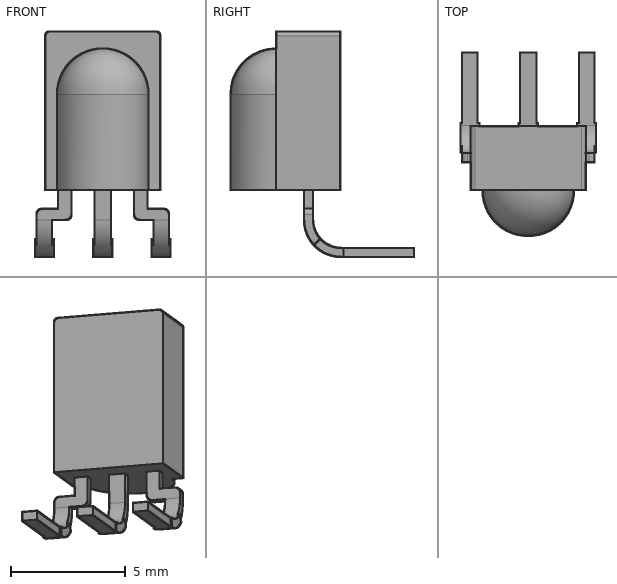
import cadquery as cq
import math


top_height = 9.85
body_bottom = 2.92
body_width = 5.02
body_depth = 2.8
body_corner_radius = 0.2
lens_radius = 2.0
dome_center_height = 7.1

lead_pitch = 2.54
lead_thickness = 0.4
lead_front = 1.21
lead_end = 6.02
bend_outer_radius = 1.62
bend_inner_radius = bend_outer_radius - lead_thickness
bend_center_y = lead_front + bend_outer_radius
wide_width = 0.85
wide_end = 2.94
wide_start_angle = 42.5
center_lead_width = 0.73

outer_lead_inside = 2.21
outer_lead_outside = 2.9
root_inside = 1.36
root_outside = 1.96
jog_top = 2.11
jog_bottom = bend_outer_radius
jog_corner_radius = 0.25


def make_body():
    height = top_height - body_bottom
    block = cq.Workplane("XY").box(body_width, body_depth, height, centered=(True, False, False))
    block = block.translate((0, 0, body_bottom))
    return block.edges("|Y and >Z").fillet(body_corner_radius)


def make_lens():
    """Upright cylinder with a domed top, centered on the body's front face."""
    barrel_height = dome_center_height - body_bottom
    barrel = cq.Workplane("XY").workplane(offset=body_bottom).circle(lens_radius).extrude(barrel_height)
    dome = cq.Workplane("XY").sphere(lens_radius).translate((0, 0, dome_center_height))
    return barrel.union(dome)


def bend_point(radius, angle):
    """Y and Z on the bend, with the angle measured from the upright end."""
    turn = math.radians(angle)
    return (bend_center_y - radius * math.cos(turn), bend_outer_radius - radius * math.sin(turn))


def bent_strip(start_angle, end_y, x_min, x_max):
    """Strip that follows the bend from start_angle and then runs flat to end_y."""
    middle_angle = (start_angle + 90) / 2
    profile = (
        cq.Workplane("YZ")
        .workplane(offset=x_min)
        .moveTo(*bend_point(bend_outer_radius, start_angle))
        .threePointArc(bend_point(bend_outer_radius, middle_angle), bend_point(bend_outer_radius, 90))
        .lineTo(end_y, 0)
        .lineTo(end_y, lead_thickness)
        .lineTo(bend_center_y, lead_thickness)
        .threePointArc(bend_point(bend_inner_radius, middle_angle), bend_point(bend_inner_radius, start_angle))
        .close()
    )
    return profile.extrude(x_max - x_min)


def bent_lead(x_min, x_max, wide_center):
    narrow = bent_strip(0, lead_end, x_min, x_max)
    wide = bent_strip(wide_start_angle, wide_end, wide_center - wide_width / 2, wide_center + wide_width / 2)
    return narrow.union(wide)


def upright_plate(x_min, x_max, z_min, z_max):
    plate = cq.Workplane("XY").box(x_max - x_min, lead_thickness, z_max - z_min, centered=False)
    return plate.translate((x_min, lead_front, z_min))


def make_center_lead():
    half_width = center_lead_width / 2
    root = upright_plate(-half_width, half_width, bend_outer_radius, body_bottom)
    return root.union(bent_lead(-half_width, half_width, 0))


def make_outer_lead():
    """Lead on the +X side, stepping outward below the body."""
    root = upright_plate(root_inside, root_outside, jog_bottom, body_bottom)
    jog = upright_plate(root_inside, outer_lead_outside, jog_bottom, jog_top)
    step = root.union(jog)
    lower_corner = cq.selectors.NearestToPointSelector(
        (root_inside, lead_front + lead_thickness / 2, jog_bottom)
    )
    upper_corner = cq.selectors.NearestToPointSelector(
        (outer_lead_outside, lead_front + lead_thickness / 2, jog_top)
    )
    step = step.edges(lower_corner).fillet(jog_corner_radius)
    step = step.edges(upper_corner).fillet(jog_corner_radius)
    return step.union(bent_lead(outer_lead_inside, outer_lead_outside, lead_pitch))


outer_lead = make_outer_lead()
result = (
    make_body()
    .union(make_lens())
    .union(make_center_lead())
    .union(outer_lead)
    .union(outer_lead.mirror("YZ"))
)